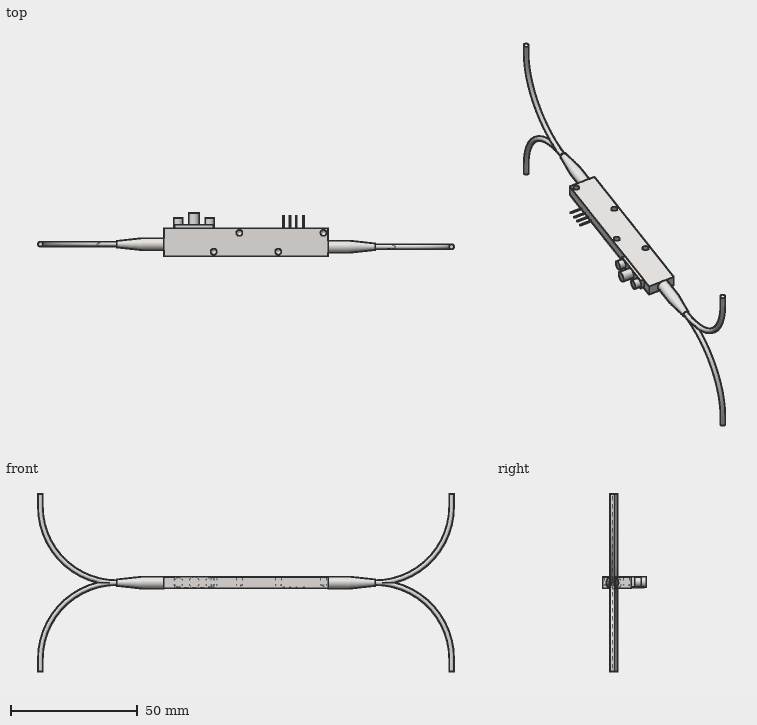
import cadquery as cq
body_length = 64.8
body_depth = 11.2
body_height = 4.5
half_length = body_length / 2

hole_diameter = 2.4
hole_depth = 3.0
hole_tip_length = 0.7
hole_inset = 1.9
front_hole_x = (-12.7, 12.7)
rear_hole_x = (-2.6, half_length - hole_inset)

connector_x = -20.5
connector_z = 0.25
flange_diameter = 15.88
flange_thickness = 1.4
flange_height = 4.2
screw_diameter = 3.66
screw_reach = 4.0
screw_offset = 6.2
post_diameter = 4.17
post_reach = 6.0

pin_diameter = 0.5
pin_reach = 4.9
pin_z = -1.8
pin_x = (14.8, 17.3, 19.8, 22.7)

sleeve_diameter = 4.8
sleeve_length = 8.6
boot_tip_diameter = 2.62
boot_tip_x = 51.0
left_lead_y = 4.85
right_lead_y = 3.85

lead_diameter = 2.0
bend_radius = 30.0
lead_end_length = 5.0


def make_body():
    body = cq.Workplane("XY").box(body_length, body_depth, body_height, centered=(True, False, True))
    front_holes = [(x, hole_inset) for x in front_hole_x]
    rear_holes = [(x, body_depth - hole_inset) for x in rear_hole_x]
    hole_radius = hole_diameter / 2
    drill_profile = [
        (0, 0),
        (hole_radius, 0),
        (hole_radius, -hole_depth),
        (0, -hole_depth - hole_tip_length),
    ]
    drill = cq.Workplane("XZ").polyline(drill_profile).close().revolve(360, (0, 0, 0), (0, 1, 0))
    for x, y in front_holes + rear_holes:
        body = body.cut(drill.translate((x, y, body_height / 2)))
    return body


def rear_cylinder(x, z, diameter, reach, base=0):
    """Cylinder along +Y, from `base` to `reach` behind the rear face of the block."""
    base_plane = cq.Workplane("XZ", origin=(x, body_depth + base, z))
    return base_plane.circle(diameter / 2).extrude(base - reach)


def make_connector():
    flange = rear_cylinder(connector_x, connector_z, flange_diameter, flange_thickness)
    trim = cq.Workplane("XY").box(body_length, 2 * (body_depth + flange_thickness), flange_height)
    connector = flange.intersect(trim.translate((0, 0, connector_z)))
    connector = connector.union(rear_cylinder(connector_x, connector_z, post_diameter, post_reach))
    for side in (-1, 1):
        screw_x = connector_x + side * screw_offset
        screw = rear_cylinder(screw_x, connector_z, screw_diameter, screw_reach, flange_thickness)
        connector = connector.union(screw)
    return connector


def make_strain_relief():
    """Sleeve and boot on the +X end, revolved about the X axis."""
    sleeve_end = half_length + sleeve_length
    profile = [
        (half_length, 0),
        (half_length, sleeve_diameter / 2),
        (sleeve_end, sleeve_diameter / 2),
        (boot_tip_x, boot_tip_diameter / 2),
        (boot_tip_x, 0),
    ]
    return cq.Workplane("XY").polyline(profile).close().revolve(360, (0, 0, 0), (1, 0, 0))


def make_upper_lead():
    """Lead on the +X end that bends up to +Z, kept to the upper side of the Z = 0 plane."""
    bend = (
        cq.Workplane("YZ", origin=(boot_tip_x, 0, 0))
        .circle(lead_diameter / 2)
        .revolve(90, (1, bend_radius, 0), (-1, bend_radius, 0))
    )
    straight = (
        cq.Workplane("XY", origin=(boot_tip_x + bend_radius, 0, bend_radius))
        .circle(lead_diameter / 2)
        .extrude(lead_end_length)
    )
    reach = boot_tip_x + bend_radius + lead_diameter
    upper_side = cq.Workplane("XY").box(2 * reach, 2 * lead_diameter, reach, centered=(True, True, False))
    return bend.union(straight).intersect(upper_side)


def make_right_end():
    upper_lead = make_upper_lead()
    lower_lead = upper_lead.mirror("XY")
    return upper_lead.union(lower_lead).union(make_strain_relief())


right_end = make_right_end()
left_end = right_end.mirror("YZ")

result = make_body().union(make_connector())
for x in pin_x:
    result = result.union(rear_cylinder(x, pin_z, pin_diameter, pin_reach))
result = result.union(right_end.translate((0, right_lead_y, 0)))
result = result.union(left_end.translate((0, left_lead_y, 0)))